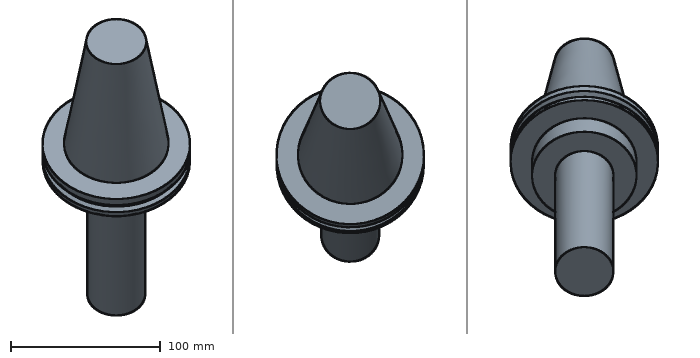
import cadquery as cq

total_height = 254.5
shank_diameter = 39.0
shank_length = 117.5
collar_diameter = 69.8
flange_bottom = 134.2
flange_diameter = 98.5
flange_thickness = 17.3
groove_diameter = 91.5
groove_floor_width = 4.0
groove_mouth_width = 7.1
groove_center_below_top = 9.7
neck_height = 1.5
taper_ratio = 7 / 24

flange_top = flange_bottom + flange_thickness
groove_center = flange_top - groove_center_below_top
taper_bottom = flange_top + neck_height
tip_diameter = collar_diameter - taper_ratio * (total_height - taper_bottom)


def cylinder(diameter, bottom, top):
    """Solid cylinder on the Z axis between two heights."""
    return cq.Workplane("XY").workplane(offset=bottom).circle(diameter / 2).extrude(top - bottom)


def taper_cone():
    """Tool taper narrowing upward from the neck to the tip."""
    return (
        cq.Workplane("XY")
        .workplane(offset=taper_bottom)
        .circle(collar_diameter / 2)
        .workplane(offset=total_height - taper_bottom)
        .circle(tip_diameter / 2)
        .loft(ruled=True)
    )


def flange_groove():
    """Ring with sloped sides that forms the groove around the flange."""
    floor_radius = groove_diameter / 2
    mouth_radius = flange_diameter / 2
    return (
        cq.Workplane("XZ")
        .moveTo(floor_radius, groove_center - groove_floor_width / 2)
        .lineTo(mouth_radius, groove_center - groove_mouth_width / 2)
        .lineTo(mouth_radius, groove_center + groove_mouth_width / 2)
        .lineTo(floor_radius, groove_center + groove_floor_width / 2)
        .close()
        .revolve(360, (0, 0, 0), (0, 1, 0))
    )


shank = cylinder(shank_diameter, 0, shank_length)
collar = cylinder(collar_diameter, shank_length, flange_bottom)
flange = cylinder(flange_diameter, flange_bottom, flange_top).cut(flange_groove())
neck = cylinder(collar_diameter, flange_top, taper_bottom)

result = shank.union(collar).union(flange).union(neck).union(taper_cone())